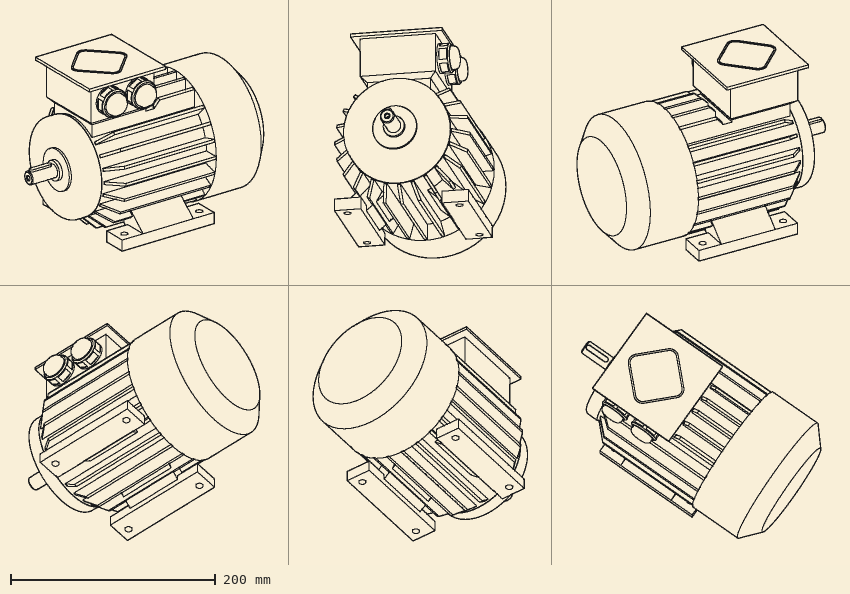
import cadquery as cq
import math


KEY_START_Y = 1.7
COLLAR_Y = 30.1
BOSS_Y = 33.5
SHIELD_FRONT_Y = 36.0
SHIELD_BACK_Y = 51.1
FIN_FRONT_Y = 53.8
COVER_FRONT_Y = 176.9
COVER_BEVEL_Y = 230.7
REAR_Y = 247.0

SHAFT_DIA = 14.0
SHAFT_CHAMFER = 1.0
CENTRE_HOLE_DIA = 4.2
CENTRE_HOLE_DEPTH = 7.5
CENTRE_HOLE_TIP = 1.2
CENTRE_HOLE_CHAMFER = 0.7
COLLAR_DIA = 21.0
BOSS_DIA = 44.0
SHIELD_DIA = 105.0
SHIELD_FILLET = 5.0
BODY_DIA = 104.0
COVER_DIA = 137.0
COVER_REAR_DIA = 100.0

KEY_WIDTH = 5.0
KEY_LENGTH = 25.5
KEY_TOP_Z = 9.0

FIN_THICKNESS = 3.0
FIN_RADIUS = 67.7
FIN_BEVEL = 15.0
FIN_STEP_ANGLE = 15
RADIAL_FIN_COUNT = 19
FIRST_FIN_ANGLE = 135
TOP_FIN_COUNT = 5
TOP_FIN_FRONT_Y = 129.2
TOP_FIN_BEVEL = 6.0

SADDLE_WIDTH = 63.2
SADDLE_FLOOR_Z = 52.4
PEDESTAL_LENGTH = 65.0
PEDESTAL_TOP_Z = 55.0
FLARE_HEIGHT = 5.2
BOX_SIDE = 75.3
BOX_BOTTOM_Z = PEDESTAL_TOP_Z + FLARE_HEIGHT
BOX_CENTRE_Y = FIN_FRONT_Y + PEDESTAL_LENGTH / 2
LID_SIDE = 91.5
LID_CENTRE_Y = 86.7
LID_BOTTOM_Z = 99.0
LID_TOP_Z = 102.3
RIM_SIDE = 49.5
RIM_CORNER_RADIUS = 8.6
RIM_CENTRE_Y = 85.0
RIM_WIDTH = 1.7
RIM_HEIGHT = 0.7

GLAND_Z = 80.0
GLAND_SPACING = 35.0
GLAND_CENTRE_Y = 87.0
NUT_DIA = 29.5
NUT_FLATS = 27.2
NUT_LENGTH = 12.0
NUT_CHAMFER = 1.5
FLATS_START = 2.0
FLATS_LENGTH = 7.7
GLAND_CAP_DIA = 23.2
GLAND_CAP_END_DIA = 14.0
GLAND_LENGTH = 18.8

FOOT_BOTTOM_Z = -71.0
FOOT_HEIGHT = 12.0
FOOT_WIDTH = 26.5
FOOT_OUTER_X = 67.0
FOOT_LENGTH = 110.5
FOOT_CENTRE_Y = 120.3
FOOT_HOLE_DIA = 7.0
FOOT_HOLE_X = 56.0
FOOT_HOLE_SPACING = 90.0
GUSSET_LENGTH = 60.3
GUSSET_ANGLE = 40
GUSSET_INNER_X = 19.8
GUSSET_LOW_Z = -64.2


def cylinder_y(diameter, start_y, end_y):
    """Solid cylinder on the shaft axis between two stations."""
    plane = cq.Plane(origin=(0, start_y, 0), xDir=(1, 0, 0), normal=(0, 1, 0))
    return cq.Workplane(plane).circle(diameter / 2).extrude(end_y - start_y)


def revolve_about_shaft(profile):
    """Solid of revolution from a list of (radius, Y) points."""
    return cq.Workplane("XY").polyline(profile).close().revolve(360, (0, 0, 0), (0, 1, 0))


def block(width, length, centre_y, bottom_z, top_z):
    """Upright block centred on X = 0."""
    height = top_z - bottom_z
    return cq.Workplane("XY").box(width, length, height).translate((0, centre_y, bottom_z + height / 2))


def make_fan_cover():
    profile = [
        (0, COVER_FRONT_Y),
        (COVER_DIA / 2, COVER_FRONT_Y),
        (COVER_DIA / 2, COVER_BEVEL_Y),
        (COVER_REAR_DIA / 2, REAR_Y),
        (0, REAR_Y),
    ]
    return revolve_about_shaft(profile)


def make_end_shield():
    shield = cylinder_y(SHIELD_DIA, SHIELD_FRONT_Y, SHIELD_BACK_Y)
    return shield.faces("<Y").edges().fillet(SHIELD_FILLET)


def make_centre_hole():
    """Countersunk centre hole in the shaft tip, ending in a drill cone."""
    radius = CENTRE_HOLE_DIA / 2
    profile = [
        (0, 0),
        (radius + CENTRE_HOLE_CHAMFER, 0),
        (radius, CENTRE_HOLE_CHAMFER),
        (radius, CENTRE_HOLE_DEPTH),
        (0, CENTRE_HOLE_DEPTH + CENTRE_HOLE_TIP),
    ]
    return revolve_about_shaft(profile)


def make_shaft():
    shaft = cylinder_y(SHAFT_DIA, 0, COLLAR_Y).faces("<Y").edges().chamfer(SHAFT_CHAMFER)
    key_bottom_z = SHAFT_DIA / 4
    key = (
        cq.Workplane("XY", origin=(0, KEY_START_Y + KEY_LENGTH / 2, key_bottom_z))
        .slot2D(KEY_LENGTH, KEY_WIDTH, 90)
        .extrude(KEY_TOP_Z - key_bottom_z)
    )
    return shaft.union(key).cut(make_centre_hole())


def fin_outline(front_y, bevel):
    """Half section of the finned envelope, bevelled at its outer front corner."""
    return [
        (0, front_y),
        (FIN_RADIUS - bevel, front_y),
        (FIN_RADIUS, front_y + bevel),
        (FIN_RADIUS, COVER_FRONT_Y),
        (0, COVER_FRONT_Y),
    ]


def make_radial_fins():
    """Fins around the sides and the bottom; the top is left to the saddle."""
    outline = fin_outline(FIN_FRONT_Y, FIN_BEVEL)
    fin = cq.Workplane("XY").polyline(outline).close().extrude(FIN_THICKNESS / 2, both=True)
    fins = cq.Workplane("XY")
    for index in range(RADIAL_FIN_COUNT):
        angle = FIRST_FIN_ANGLE + index * FIN_STEP_ANGLE
        fins = fins.union(fin.rotate((0, 0, 0), (0, 1, 0), -angle))
    return fins


def make_top_fins():
    """Parallel upright fins on the saddle, trimmed to the round fin envelope."""
    envelope = revolve_about_shaft(fin_outline(TOP_FIN_FRONT_Y, TOP_FIN_BEVEL))
    length = COVER_FRONT_Y - TOP_FIN_FRONT_Y
    pitch = (SADDLE_WIDTH - FIN_THICKNESS) / (TOP_FIN_COUNT - 1)
    plate = block(FIN_THICKNESS, length, TOP_FIN_FRONT_Y + length / 2, 0, FIN_RADIUS)
    fins = cq.Workplane("XY")
    for index in range(TOP_FIN_COUNT):
        offset = (index - (TOP_FIN_COUNT - 1) / 2) * pitch
        fins = fins.union(plate.translate((offset, 0, 0)))
    return fins.intersect(envelope)


def make_terminal_box():
    saddle_length = COVER_FRONT_Y - FIN_FRONT_Y
    saddle = block(SADDLE_WIDTH, saddle_length, FIN_FRONT_Y + saddle_length / 2, 0, SADDLE_FLOOR_Z)
    pedestal = block(SADDLE_WIDTH, PEDESTAL_LENGTH, BOX_CENTRE_Y, 0, PEDESTAL_TOP_Z)
    flare = (
        cq.Workplane("XY", origin=(0, BOX_CENTRE_Y, PEDESTAL_TOP_Z))
        .rect(SADDLE_WIDTH, PEDESTAL_LENGTH)
        .workplane(offset=FLARE_HEIGHT)
        .rect(BOX_SIDE, BOX_SIDE)
        .loft(ruled=True)
    )
    box = block(BOX_SIDE, BOX_SIDE, BOX_CENTRE_Y, BOX_BOTTOM_Z, LID_BOTTOM_Z)
    lid = block(LID_SIDE, LID_SIDE, LID_CENTRE_Y, LID_BOTTOM_Z, LID_TOP_Z)
    return saddle.union(pedestal).union(flare).union(box).union(lid).union(make_lid_rim())


def make_lid_rim():
    """Raised rounded frame standing on one corner in the middle of the lid."""
    def rounded_square(side, radius):
        square = cq.Workplane("XY").rect(side, side).extrude(RIM_HEIGHT)
        return square.edges("|Z").fillet(radius)

    inner_side = RIM_SIDE - 2 * RIM_WIDTH
    rim = rounded_square(RIM_SIDE, RIM_CORNER_RADIUS)
    rim = rim.cut(rounded_square(inner_side, RIM_CORNER_RADIUS - RIM_WIDTH))
    return rim.rotate((0, 0, 0), (0, 0, 1), 45).translate((0, RIM_CENTRE_Y, LID_TOP_Z))


def make_gland():
    """Cable gland along +X: a round nut with six flats and a rounded cap."""
    nut = cq.Workplane("YZ").circle(NUT_DIA / 2).extrude(NUT_LENGTH)
    nut = nut.faces(">X").edges().chamfer(NUT_CHAMFER)
    hexagon_dia = NUT_FLATS / math.cos(math.radians(30))
    hexagon = (
        cq.Workplane("YZ", origin=(FLATS_START, 0, 0))
        .transformed(rotate=(0, 0, 30))
        .polygon(6, hexagon_dia)
        .extrude(FLATS_LENGTH)
    )
    flats_blank = cq.Workplane("YZ", origin=(FLATS_START, 0, 0)).circle(NUT_DIA).extrude(FLATS_LENGTH)
    nut = nut.cut(flats_blank.cut(hexagon))
    cap = cq.Workplane("YZ").circle(GLAND_CAP_DIA / 2).extrude(GLAND_LENGTH)
    cap = cap.faces(">X").edges().fillet((GLAND_CAP_DIA - GLAND_CAP_END_DIA) / 2)
    return nut.union(cap)


def make_glands():
    gland = make_gland()
    glands = cq.Workplane("XY")
    for side in (-1, 1):
        centre_y = GLAND_CENTRE_Y + side * GLAND_SPACING / 2
        glands = glands.union(gland.translate((BOX_SIDE / 2, centre_y, GLAND_Z)))
    return glands


def make_foot():
    """Foot on the +X side with its sloping gusset up to the body."""
    top_z = FOOT_BOTTOM_Z + FOOT_HEIGHT
    inner_x = FOOT_OUTER_X - FOOT_WIDTH
    foot = block(FOOT_WIDTH, FOOT_LENGTH, FOOT_CENTRE_Y, FOOT_BOTTOM_Z, top_z)
    foot = foot.translate((inner_x + FOOT_WIDTH / 2, 0, 0))
    slope = math.tan(math.radians(GUSSET_ANGLE))
    gusset_outline = [
        (FOOT_OUTER_X, top_z),
        (GUSSET_INNER_X, top_z + (FOOT_OUTER_X - GUSSET_INNER_X) * slope),
        (GUSSET_INNER_X, GUSSET_LOW_Z + (inner_x - GUSSET_INNER_X) * slope),
        (inner_x, GUSSET_LOW_Z),
        (inner_x, top_z),
    ]
    gusset = (
        cq.Workplane("XZ", origin=(0, FOOT_CENTRE_Y, 0))
        .polyline(gusset_outline)
        .close()
        .extrude(GUSSET_LENGTH / 2, both=True)
    )
    holes = (
        cq.Workplane("XY", origin=(FOOT_HOLE_X, FOOT_CENTRE_Y, FOOT_BOTTOM_Z))
        .rarray(2.5, FOOT_HOLE_SPACING, 1, 2)
        .circle(FOOT_HOLE_DIA / 2)
        .extrude(FOOT_HEIGHT)
    )
    return foot.cut(holes).union(gusset)


foot = make_foot()
result = (
    cylinder_y(BODY_DIA, SHIELD_BACK_Y, COVER_FRONT_Y)
    .union(make_fan_cover())
    .union(make_end_shield())
    .union(cylinder_y(BOSS_DIA, BOSS_Y, SHIELD_FRONT_Y))
    .union(cylinder_y(COLLAR_DIA, COLLAR_Y, BOSS_Y))
    .union(make_shaft())
    .union(make_radial_fins())
    .union(make_terminal_box())
    .union(make_top_fins())
    .union(make_glands())
    .union(foot)
    .union(foot.mirror("YZ"))
)